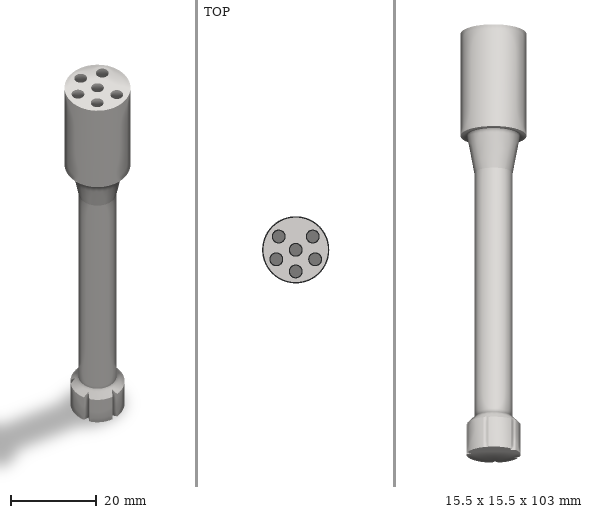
import cadquery as cq
import math

total_height = 103.0
foot_height = 7.3
foot_chamfer = 1.9
head_height = 24.9
flare_height = 9.2

head_diameter = 15.5
flare_top_diameter = 12.4
stem_diameter = 9.0
foot_diameter = 12.7

hole_diameter = 3.0
hole_depth = 10.3
hole_ring_radius = 5.0
ring_count = 5
ring_pitch = 64.0
ring_middle_angle = 270.0

groove_width = 1.4
groove_depth = 1.1
shallow_groove_depth = 0.2
shallow_groove_index = 1
groove_lag = 23.0


def turned_body():
    head_bottom = total_height - head_height
    flare_bottom = head_bottom - flare_height
    stem_bottom = foot_height + foot_chamfer
    profile = [
        (0, 0),
        (foot_diameter / 2, 0),
        (foot_diameter / 2, foot_height),
        (stem_diameter / 2, stem_bottom),
        (stem_diameter / 2, flare_bottom),
        (flare_top_diameter / 2, head_bottom),
        (head_diameter / 2, head_bottom),
        (head_diameter / 2, total_height),
        (0, total_height),
    ]
    return cq.Workplane("XZ").polyline(profile).close().revolve(360, (0, 0), (0, 1))


def ring_angles():
    first_angle = ring_middle_angle - ring_pitch * (ring_count - 1) / 2
    return [first_angle + ring_pitch * step for step in range(ring_count)]


def head_holes():
    centres = [(0, 0)]
    for angle in ring_angles():
        turn = math.radians(angle)
        centres.append((hole_ring_radius * math.cos(turn), hole_ring_radius * math.sin(turn)))
    top = cq.Workplane("XY").workplane(offset=total_height)
    return top.pushPoints(centres).circle(hole_diameter / 2).extrude(-hole_depth)


def foot_groove(angle, depth):
    foot_radius = foot_diameter / 2
    section = [
        (foot_radius - depth, 0),
        (foot_radius + depth, groove_width),
        (foot_radius + depth, -groove_width),
    ]
    wedge = cq.Workplane("XY").polyline(section).close().extrude(foot_height + foot_chamfer)
    return wedge.rotate((0, 0, 0), (0, 0, 1), angle)


result = turned_body().cut(head_holes())
for index, hole_angle in enumerate(ring_angles()):
    depth = shallow_groove_depth if index == shallow_groove_index else groove_depth
    result = result.cut(foot_groove(hole_angle - groove_lag, depth))